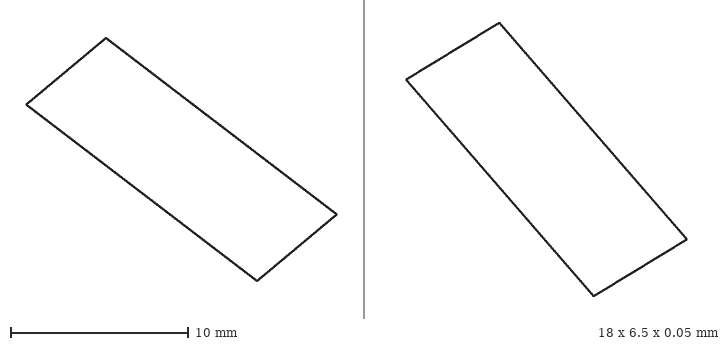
import cadquery as cq

length = 18.0
width = 6.5
thickness = 0.05

result = cq.Workplane("XY").box(length, width, thickness)